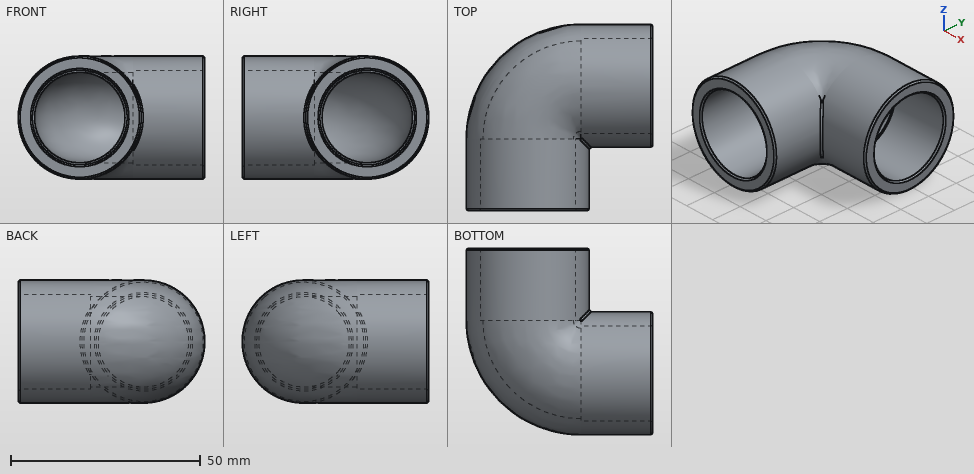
import cadquery as cq
import math

overall = 49.25
body_diameter = 32.5
leg_length = 18.95
bore_diameter = 23.9
socket_diameter = 25.0
rim_chamfer = 0.5
crotch_bevel = 0.5

body_radius = body_diameter / 2
bore_radius = bore_diameter / 2
socket_radius = socket_diameter / 2
mouth_distance = overall - body_radius
bend_radius = mouth_distance - leg_length

LEG_DIRECTIONS = [(0, -1, 0), (1, 0, 0)]


def along_leg(direction, profile):
    """Revolve a (radius, distance from the origin) profile about a leg axis."""
    radial = cq.Vector(0, 0, 1)
    axis_plane = cq.Plane(origin=(0, 0, 0), xDir=radial, normal=radial.cross(cq.Vector(direction)))
    return cq.Workplane(axis_plane).polyline(profile).close().revolve(360, (0, 0), (0, 1))


def leg_body(direction):
    return along_leg(direction, [
        (0, bend_radius),
        (body_radius, bend_radius),
        (body_radius, mouth_distance - rim_chamfer),
        (body_radius - rim_chamfer, mouth_distance),
        (0, mouth_distance),
    ])


def leg_bore(direction):
    """Socket that runs from the mouth to the step at the bend."""
    return along_leg(direction, [
        (0, bend_radius),
        (socket_radius, bend_radius),
        (socket_radius, mouth_distance - rim_chamfer),
        (socket_radius + rim_chamfer, mouth_distance),
        (0, mouth_distance),
    ])


def bend(radius):
    """Quarter turn of a disc, cut off where it would cross the bend axis."""
    section = cq.Workplane("XZ", origin=(0, -bend_radius, 0))
    if radius > bend_radius:
        half_chord = math.sqrt(radius**2 - bend_radius**2)
        section = section.moveTo(bend_radius, half_chord)
        section = section.threePointArc((-radius, 0), (bend_radius, -half_chord)).close()
    else:
        section = section.circle(radius)
    return section.revolve(90, (bend_radius, 0.5), (bend_radius, 0))


def crotch_web():
    """Narrow bevel that fills the crease where the outer faces of the legs meet.

    The crease is half of the mitre ellipse, so the web is that ellipse moved outward along the
    diagonal between the legs and given a small thickness across it.
    """
    shift = crotch_bevel / math.sqrt(2)
    start = bend_radius * math.sqrt(2)
    tip = body_radius * math.sqrt(2) + shift
    half_height = math.sqrt(body_radius**2 - ((start - shift) / math.sqrt(2))**2)
    mitre_plane = cq.Plane(origin=(0, 0, 0), xDir=(1, -1, 0), normal=(1, 1, 0))
    ellipse = cq.Workplane(mitre_plane).center(shift, 0).ellipse(body_radius * math.sqrt(2), body_radius)
    clip = cq.Workplane(mitre_plane).center((start + tip) / 2, 0).rect(tip - start, 2 * half_height)
    return ellipse.extrude(shift, both=True).intersect(clip.extrude(shift, both=True))


body = cq.Workplane(bend(body_radius).val().toNURBS())
bore = bend(bore_radius)
for leg_direction in LEG_DIRECTIONS:
    body = body.union(leg_body(leg_direction))
    bore = bore.union(leg_bore(leg_direction))

result = body.union(crotch_web()).cut(bore)